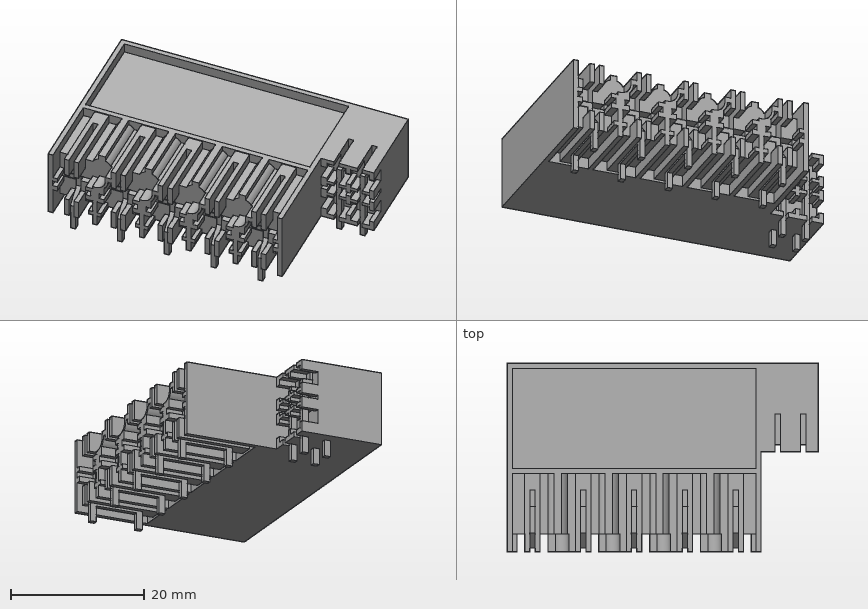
import cadquery as cq

total_width = 46.7
total_depth = 28.3
total_height = 14.0
body_height = 11.5
leg_length = total_height - body_height
wall = 0.8

cell_count = 5
main_width = 38.1
pitch = main_width / cell_count
recess_depth = 2.65
trench_depth = 11.7
core_bottom = 1.77
core_top = 9.95

small_cell_count = 2
small_pitch = pitch / 2
small_front = 15.0
small_last_center = 44.4
small_cell_half = 1.55

pocket_depth = 1.6
pocket_front = trench_depth + wall

block_half = 1.15
upper_block_drop = 0.15
upper_block = (8.25, body_height - upper_block_drop)
lower_block = (0.37, 3.45)
slot_width = 0.8
slot_depth = 9.25

ledge_bottom = 4.58
ledge_top = 7.0
ledge_reach = 1.5
groove_bottom = 5.4
groove_top = 6.3
groove_inset = 0.7
groove_half = 2.2
groove_depth = 6.75

web_half = 0.37
flange_half = 1.05
flange_top = 2.47
post_half = 0.55
channel_radius = 1.7
channel_wall = 0.4
channel_z = 9.1
arm_bottom = 9.1

leg_width = 1.0
leg_front = 0.55
contact_front = 2.8
ramp_bottom = 1.9
ramp_top = 4.15
small_slot_depth = 5.7
small_contact_inset = 1.05
small_contact_front = small_front + small_contact_inset
small_contact_top = 9.25

small_slot_floor = 7.3
small_cell_openings = [(0.8, 4.45), (5.0, 6.72), (small_slot_floor, 10.8)]
small_post_openings = [(1.7, 3.88), (5.55, 6.15), (7.85, 9.95)]


def block(x_range, y_range, z_range):
    """Box spanning the given ranges."""
    ranges = (x_range, y_range, z_range)
    size = [high - low for low, high in ranges]
    corner = tuple(low for low, high in ranges)
    return cq.Workplane("XY", origin=corner).box(*size, centered=False)


def around(center, half):
    """Range reaching half to both sides of the center."""
    return (center - half, center + half)


def cylinder(x, radius, y_range):
    """Round bar along Y at the height of the channel."""
    length = y_range[1] - y_range[0]
    bar = cq.Workplane("XZ", origin=(x, y_range[1], channel_z))
    return bar.circle(radius).extrude(length)


def side_profile(points, x_center, width):
    """Plate with a Y-Z outline, centered on x_center."""
    plate = cq.Workplane("YZ", origin=(x_center - width / 2, 0, 0))
    return plate.polyline(points).close().extrude(width)


def hollow_main_body():
    """Large housing with its top pocket, front recess and the two trenches."""
    inner = (wall, main_width - wall)
    full_height = (0, body_height)
    pocket_y = (pocket_front, total_depth - wall)
    pocket_z = (body_height - pocket_depth, body_height)
    body = block((0, main_width), (0, total_depth), full_height)
    body = body.cut(block(inner, pocket_y, pocket_z))
    body = body.cut(block(inner, (0, recess_depth), full_height))
    body = body.cut(block(inner, (0, trench_depth), (core_top, body_height)))
    return body.cut(block(inner, (0, trench_depth), (0, core_bottom)))


def stem(x):
    """Web, ledges and round channel between two cells, with an arm to the next upper block."""
    front = (0, recess_depth)
    behind = (recess_depth, trench_depth)
    next_block = x + pitch / 2 - block_half

    outer_radius = channel_radius + channel_wall
    trough = cylinder(x, outer_radius, front)
    trough_window = (x - web_half, x + outer_radius)
    trough = trough.intersect(block(trough_window, front, (channel_z - outer_radius, arm_bottom)))
    trough_base = (ledge_top, channel_z - channel_radius / 2)
    trough = trough.union(block((x - web_half, x + ledge_reach), front, trough_base))
    trough = trough.union(block((x, next_block), front, (arm_bottom, core_top)))
    trough = trough.cut(cylinder(x, channel_radius, front))
    trough = trough.cut(block((x, x + channel_radius), front, (channel_z, core_top)))

    solid = trough.union(block(around(x, ledge_reach), front, (ledge_bottom, ledge_top)))
    solid = solid.union(block(around(x, web_half), front, (0, ledge_bottom)))
    solid = solid.union(block(around(x, flange_half), front, (core_bottom, flange_top)))

    solid = solid.union(cylinder(x, channel_radius, behind))
    solid = solid.union(block(around(x, post_half), behind, (channel_z, body_height)))
    return solid.union(block(around(x, web_half), behind, (0, core_bottom)))


def contact(x):
    """Pin with a ramped front leg, a rear leg and a tab on its left at the groove."""
    rear_leg = slot_depth - leg_width
    outline = [
        (leg_front, -leg_length),
        (leg_front + leg_width, -leg_length),
        (leg_front + leg_width, 0),
        (rear_leg, 0),
        (rear_leg, -leg_length),
        (slot_depth, -leg_length),
        (slot_depth, groove_bottom),
        (groove_depth, groove_bottom),
        (groove_depth, groove_top),
        (contact_front, groove_top),
        (contact_front, ramp_top),
        (leg_front, ramp_bottom),
    ]
    tab = block((x - groove_half, x), (contact_front, groove_depth), (groove_bottom, groove_top))
    return side_profile(outline, x, slot_width).union(tab)


def small_contact(x):
    """Staple-shaped pin: two legs joined by a bridge at the top."""
    front = small_contact_front
    back = small_front + small_slot_depth
    bridge_bottom = small_contact_top - leg_width
    outline = [
        (front, -leg_length),
        (front + leg_width, -leg_length),
        (front + leg_width, bridge_bottom),
        (back - leg_width, bridge_bottom),
        (back - leg_width, -leg_length),
        (back, -leg_length),
        (back, small_contact_top),
        (front, small_contact_top),
    ]
    return side_profile(outline, x, slot_width)


def large_connector():
    """Five-cell housing with its blocks, stems, grooves, slots and contacts."""
    connector = hollow_main_body()
    centers = [pitch * (i + 0.5) for i in range(cell_count)]
    boundaries = [pitch * i for i in range(1, cell_count)]
    front = (0, recess_depth)

    for x in centers:
        for heights in (upper_block, lower_block):
            connector = connector.union(block(around(x, block_half), (0, trench_depth), heights))
    for x in boundaries:
        connector = connector.union(stem(x))
    for ledge in ((0, ledge_reach), (main_width - ledge_reach, main_width)):
        connector = connector.union(block(ledge, front, (ledge_bottom, ledge_top)))

    groove_heights = (groove_bottom, groove_top)
    for x in centers:
        connector = connector.cut(block(around(x, pitch / 2 - groove_inset), front, groove_heights))
        connector = connector.cut(block(around(x, groove_half), (0, groove_depth), groove_heights))
        connector = connector.cut(block(around(x, slot_width / 2), (0, slot_depth), (0, body_height)))
    for x in centers:
        connector = connector.union(contact(x))
    return connector


def small_connector():
    """Two-cell housing behind the step, with its openings, slots and contacts."""
    connector = block((main_width, total_width), (small_front, total_depth), (0, body_height))
    centers = [small_last_center - small_pitch * i for i in range(small_cell_count)]
    recess = (small_front, small_front + recess_depth)

    for heights in small_post_openings:
        connector = connector.cut(block((main_width, total_width), recess, heights))
    for x in centers:
        for heights in small_cell_openings:
            connector = connector.cut(block(around(x, small_cell_half), recess, heights))
        slot_x = around(x, slot_width / 2)
        leg_slot = (small_front, small_contact_front + leg_width)
        bridge_slot = (small_front, small_front + small_slot_depth)
        connector = connector.cut(block(slot_x, leg_slot, (0, body_height)))
        connector = connector.cut(block(slot_x, bridge_slot, (small_slot_floor, body_height)))
    for x in centers:
        connector = connector.union(small_contact(x))
    return connector


result = large_connector().union(small_connector())